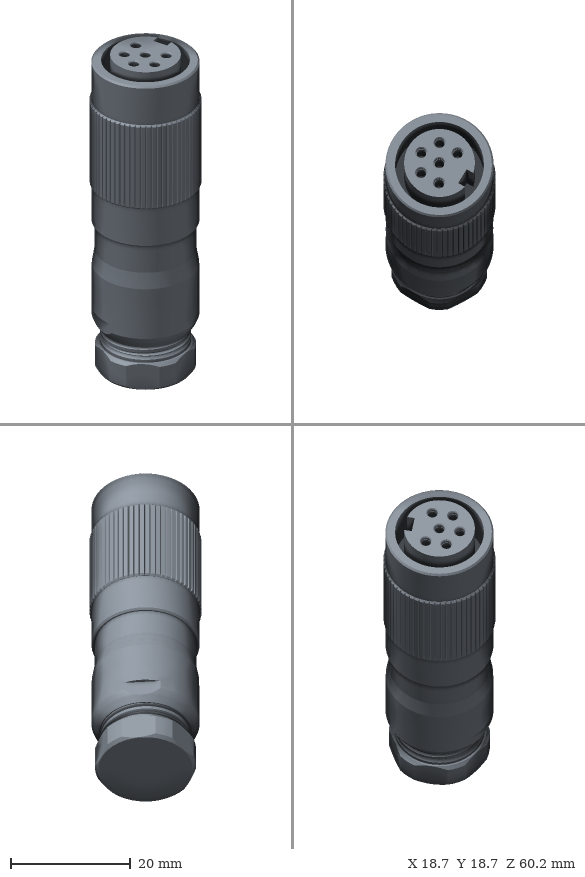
import cadquery as cq
import math

NUT_TOP = 5.05
HOUSING_BOTTOM = 8.1
HOUSING_TAPER_TOP = 10.5
HOUSING_FLAT_TOP = 12.05
HOUSING_BODY_TOP = 20.05
HOUSING_NECK_BOTTOM = 23.0
SLEEVE_BOTTOM = 28.2
KNURL_BOTTOM = 35.65
KNURL_TOP = 51.85
SLEEVE_TOP = 59.2
INSERT_TOP = 60.2

NUT_APOTHEM = 7.95
NUT_RADIUS = 8.4
NUT_CHAMFER = 0.55

THREAD_RADIUS = 7.6
THREAD_DEPTH = 0.4
THREAD_PITCH = 1.2
THREAD_ROOT_WIDTH = 0.2
THREAD_FLANK_ANGLE = 30.0
THREAD_CREST_HEIGHT = 7.15
RUNOUT_BOTTOM = 5.6
RUNOUT_FLOOR_WIDTH = 0.1

HOUSING_END_RADIUS = 7.75
HOUSING_RADIUS = 9.0
HOUSING_TAPER_BULGE = 0.1
HOUSING_SHOULDER_RADIUS = 8.95
HOUSING_NECK_RADIUS = 8.5
HOUSING_FLAT_APOTHEM = 8.5
HOUSING_TURN = -25.7

SLEEVE_RADIUS = 9.0
SLEEVE_CHAMFER = 0.3
SOCKET_RADIUS = 7.4
SOCKET_FLOOR = KNURL_TOP

KNURL_RADIUS = 9.36
KNURL_CHAMFER = 0.3
KNURL_COUNT = 64
KNURL_GROOVE_WIDTH = 0.3
KNURL_GROOVE_DEPTH = 0.3

INSERT_RADIUS = 5.9
KEYWAY_WIDTH = 2.75
KEYWAY_FLOOR = 4.45
CONTACT_CIRCLE_RADIUS = 3.5
CONTACT_SPACING = 60
CONTACT_COUNT = 5
CONTACT_RADIUS = 0.85
CONTACT_CHAMFER = 0.2
CONTACT_DEPTH = 4.8
CONTACT_SEAT_DEPTH = 0.65
CONTACT_SEAT_STEP = 0.05


def cylinder(radius, bottom, top):
    return cq.Workplane("XY").workplane(offset=bottom).circle(radius).extrude(top - bottom)


def revolved(profile):
    """Solid of revolution about Z from (radius, height) points."""
    return cq.Workplane("XZ").polyline(profile).close().revolve(360, (0, 0, 0), (0, 1, 0))


def contact_holes():
    start_angle = 90 + CONTACT_SPACING
    places = [(0, 0)]
    for i in range(CONTACT_COUNT):
        angle = math.radians(start_angle + i * CONTACT_SPACING)
        places.append((CONTACT_CIRCLE_RADIUS * math.cos(angle), CONTACT_CIRCLE_RADIUS * math.sin(angle)))
    hole_bottom = INSERT_TOP - CONTACT_DEPTH
    hole = revolved([
        (0, hole_bottom),
        (CONTACT_RADIUS - CONTACT_SEAT_STEP, hole_bottom),
        (CONTACT_RADIUS - CONTACT_SEAT_STEP, INSERT_TOP - CONTACT_SEAT_DEPTH),
        (CONTACT_RADIUS, INSERT_TOP - CONTACT_SEAT_DEPTH),
        (CONTACT_RADIUS, INSERT_TOP - CONTACT_CHAMFER),
        (CONTACT_RADIUS + CONTACT_CHAMFER, INSERT_TOP),
        (0, INSERT_TOP),
    ]).val()
    return cq.Compound.makeCompound([hole.translate(cq.Vector(x, y, 0)) for x, y in places])


def make_insert():
    keyway_depth = INSERT_RADIUS - KEYWAY_FLOOR
    keyway = (
        cq.Workplane("XY")
        .workplane(offset=SOCKET_FLOOR)
        .center(0, KEYWAY_FLOOR + keyway_depth / 2)
        .rect(KEYWAY_WIDTH, keyway_depth)
        .extrude(INSERT_TOP - SOCKET_FLOOR)
    )
    return cylinder(INSERT_RADIUS, SOCKET_FLOOR, INSERT_TOP).cut(keyway).cut(contact_holes())


def make_grip():
    """Knurled band: a chamfered disc with V grooves along Z."""
    half_angle = math.asin(KNURL_GROOVE_WIDTH / 2 / KNURL_RADIUS)
    floor_radius = KNURL_RADIUS - KNURL_GROOVE_DEPTH
    step = 2 * math.pi / KNURL_COUNT

    def polar(radius, angle):
        return (radius * math.cos(angle), radius * math.sin(angle))

    outline = cq.Workplane("XY").workplane(offset=KNURL_BOTTOM).moveTo(*polar(KNURL_RADIUS, half_angle))
    for i in range(KNURL_COUNT):
        next_groove = (i + 1) * step
        outline = (
            outline
            .threePointArc(polar(KNURL_RADIUS, next_groove - step / 2), polar(KNURL_RADIUS, next_groove - half_angle))
            .lineTo(*polar(floor_radius, next_groove))
            .lineTo(*polar(KNURL_RADIUS, next_groove + half_angle))
        )
    band = outline.close().extrude(KNURL_TOP - KNURL_BOTTOM)
    envelope = cylinder(KNURL_RADIUS, KNURL_BOTTOM, KNURL_TOP).edges().chamfer(KNURL_CHAMFER)
    return band.intersect(envelope)


def make_socket():
    sleeve = cylinder(SLEEVE_RADIUS, SLEEVE_BOTTOM, SLEEVE_TOP).edges().chamfer(SLEEVE_CHAMFER)
    recess = cylinder(SOCKET_RADIUS, SOCKET_FLOOR, SLEEVE_TOP)
    return sleeve.union(make_grip()).cut(recess).union(make_insert())


def make_housing():
    chord_r = HOUSING_RADIUS - HOUSING_END_RADIUS
    chord_z = HOUSING_TAPER_TOP - HOUSING_BOTTOM
    chord = math.hypot(chord_r, chord_z)
    arc_middle = (
        (HOUSING_RADIUS + HOUSING_END_RADIUS) / 2 + HOUSING_TAPER_BULGE * chord_z / chord,
        (HOUSING_TAPER_TOP + HOUSING_BOTTOM) / 2 - HOUSING_TAPER_BULGE * chord_r / chord,
    )
    body = (
        cq.Workplane("XZ")
        .moveTo(0, HOUSING_BOTTOM)
        .lineTo(HOUSING_END_RADIUS, HOUSING_BOTTOM)
        .threePointArc(arc_middle, (HOUSING_RADIUS, HOUSING_TAPER_TOP))
        .lineTo(HOUSING_SHOULDER_RADIUS, HOUSING_BODY_TOP)
        .lineTo(HOUSING_NECK_RADIUS, HOUSING_NECK_BOTTOM)
        .lineTo(HOUSING_NECK_RADIUS, SLEEVE_BOTTOM)
        .lineTo(0, SLEEVE_BOTTOM)
        .close()
        .revolve(360, (0, 0, 0), (0, 1, 0))
    )
    flat_height = HOUSING_FLAT_TOP - HOUSING_BOTTOM
    between_flats = (
        cq.Workplane("XY")
        .workplane(offset=HOUSING_BOTTOM)
        .rect(2 * HOUSING_RADIUS, 2 * HOUSING_FLAT_APOTHEM)
        .extrude(flat_height)
    )
    outside_flats = cylinder(HOUSING_RADIUS, HOUSING_BOTTOM, HOUSING_FLAT_TOP).cut(between_flats)
    return body.cut(outside_flats).rotate((0, 0, 0), (0, 0, 1), HOUSING_TURN)


def make_hexagon():
    corner_distance = 2 * NUT_APOTHEM / math.cos(math.radians(30))
    prism = cq.Workplane("XY").polygon(6, corner_distance).extrude(NUT_TOP).rotate((0, 0, 0), (0, 0, 1), 30)
    envelope = cylinder(NUT_RADIUS, 0, NUT_TOP).edges().chamfer(NUT_CHAMFER)
    return prism.intersect(envelope)


def thread_groove(start_height):
    """Helical trapezoid groove from start_height to above the housing face."""
    root_radius = THREAD_RADIUS - THREAD_DEPTH
    clearance = 0.1
    outer_radius = THREAD_RADIUS + clearance
    slope = math.tan(math.radians(THREAD_FLANK_ANGLE))
    root_half = THREAD_ROOT_WIDTH / 2
    outer_half = root_half + (outer_radius - root_radius) * slope

    groove_height = THREAD_CREST_HEIGHT + THREAD_PITCH / 2
    start_angle = -90 + 360 * (start_height - groove_height) / THREAD_PITCH
    length = HOUSING_BOTTOM + THREAD_PITCH - start_height
    helix = cq.Wire.makeHelix(THREAD_PITCH, length, THREAD_RADIUS)
    groove = (
        cq.Workplane("XZ")
        .polyline([
            (root_radius, -root_half),
            (outer_radius, -outer_half),
            (outer_radius, outer_half),
            (root_radius, root_half),
        ])
        .close()
        .sweep(cq.Workplane(obj=helix), isFrenet=True)
    )
    return groove.rotate((0, 0, 0), (0, 0, 1), start_angle).translate((0, 0, start_height))


def make_nut():
    root_radius = THREAD_RADIUS - THREAD_DEPTH
    runout_floor_bottom = RUNOUT_BOTTOM + THREAD_DEPTH
    runout_floor_top = runout_floor_bottom + RUNOUT_FLOOR_WIDTH
    runout_top = runout_floor_top + THREAD_DEPTH * math.tan(math.radians(THREAD_FLANK_ANGLE))
    blank_top = HOUSING_BOTTOM + 2 * THREAD_PITCH
    blank = revolved([
        (0, NUT_TOP),
        (THREAD_RADIUS, NUT_TOP),
        (THREAD_RADIUS, RUNOUT_BOTTOM),
        (root_radius, runout_floor_bottom),
        (root_radius, runout_floor_top),
        (THREAD_RADIUS, runout_top),
        (THREAD_RADIUS, blank_top),
        (0, blank_top),
    ])
    threaded_blank = blank.cut(thread_groove(runout_floor_top))
    above_housing_face = cylinder(HOUSING_RADIUS, HOUSING_BOTTOM, blank_top)
    shank = threaded_blank.cut(above_housing_face)
    return make_hexagon().union(shank)


socket = make_socket()
housing = make_housing()
nut = make_nut()

result = cq.Compound.makeCompound([socket.val(), housing.val(), nut.val()])